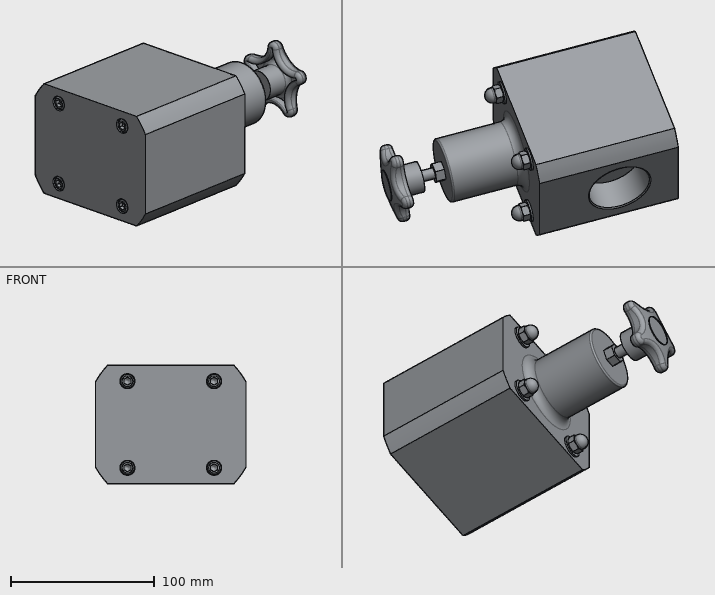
import cadquery as cq
import math


BODY_WIDTH = 104.78
BODY_HEIGHT = 82.55
BODY_LENGTH = 101.6
BODY_TURNED_DIAMETER = 120.65

PORT_DIAMETER = 44.05
PORT_MOUTH_DIAMETER = 45.72
PORT_CHAMFER = (PORT_MOUTH_DIAMETER - PORT_DIAMETER) / 2
PORT_DEPTH = 23.0
PORT_Y = 43.0

BOLT_SPACING = 60.32
COUNTERBORE_DIAMETER = 10.5
COUNTERBORE_DEPTH = 6.35
HEAD_DIAMETER = 9.53
HEAD_FACE_DIAMETER = 7.44
HEAD_CHAMFER = (HEAD_DIAMETER - HEAD_FACE_DIAMETER) / 2
SOCKET_FLATS = 4.76
SOCKET_DEPTH = 3.0
SOCKET_CONE_DEPTH = 2.2

WASHER_DIAMETER = 15.88
WASHER_THICKNESS = 1.2
NUT_FLATS = 11.11
NUT_HEX_HEIGHT = 5.35
NUT_SHOULDER_HEIGHT = 6.5
NUT_CORNER_ANGLE = math.radians(30)
DOME_DIAMETER = 11.0

BONNET_DIAMETER = 45.72
BONNET_LENGTH = 53.9
BONNET_FLARE_RADIUS = 6.35
BONNET_RIM_FILLET = 1.2

STEM_DIAMETER = 7.94
LOCK_NUT_FLATS = 12.7
LOCK_NUT_THICKNESS = 6.7

WHEEL_END_Y = 196.89
WHEEL_THICKNESS = 12.1
HUB_DIAMETER = 22.1
HUB_LENGTH = 12.6
LOBE_COUNT = 5
LOBE_RADIUS = 4.76
LOBE_CENTRE_RADIUS = 23.8
HOLLOW_RADIUS = 14.0
WHEEL_EDGE_FILLET = 3.175
PAD_HEIGHT = 0.5
CROWN_RADIUS = 90.0
RECESS_MOUTH_FILLET = 0.75
RIM_FLAT = 0.05
RIM_WIDTH = WHEEL_EDGE_FILLET + RIM_FLAT + RECESS_MOUTH_FILLET
RECESS_DEPTH = 6.0
RECESS_FILLET = 3.175

BONNET_END_Y = BODY_LENGTH + BONNET_LENGTH
WHEEL_START_Y = WHEEL_END_Y - WHEEL_THICKNESS
HUB_START_Y = WHEEL_START_Y - HUB_LENGTH


def section_plane(y):
    """Workplane across the part's axis at y; a negative extrusion goes toward +Y."""
    return cq.Workplane("XZ", origin=(0, y, 0))


def cylinder(diameter, y, length):
    return section_plane(y).circle(diameter / 2).extrude(-length)


def hexagon(flats, y, length, corner_angle=0):
    corner_diameter = flats / math.cos(math.pi / 6)
    prism = section_plane(y).polygon(6, corner_diameter).extrude(-length)
    return prism.rotate((0, 0, 0), (0, 1, 0), corner_angle)


def root_fillet(diameter, radius, base_y, direction):
    """Filleted foot of a round boss that rises from base_y toward +Y (direction 1) or -Y (-1)."""
    boss_radius = diameter / 2
    foot_radius = boss_radius + radius
    top_y = base_y + direction * radius
    arc_reach = radius * math.sin(math.pi / 4)
    arc_middle = (foot_radius - arc_reach, top_y - direction * arc_reach)
    profile = (
        cq.Workplane("XY")
        .moveTo(0, base_y)
        .lineTo(foot_radius, base_y)
        .threePointArc(arc_middle, (boss_radius, top_y))
        .lineTo(0, top_y)
        .close()
    )
    return profile.revolve(360, (0, 0, 0), (0, 1, 0))


def at_bolts(shape):
    """Copies of a shape, moved from the axis to the four bolt positions."""
    half = BOLT_SPACING / 2
    copies = cq.Workplane()
    for x in (-half, half):
        for z in (-half, half):
            copies = copies.add(shape.translate((x, 0, z)))
    return copies.combine()


def make_body():
    block = section_plane(0).rect(BODY_WIDTH, BODY_HEIGHT).extrude(-BODY_LENGTH)
    return block.intersect(cylinder(BODY_TURNED_DIAMETER, 0, BODY_LENGTH))


def make_port():
    side = cq.Workplane("YZ", origin=(-BODY_WIDTH / 2, PORT_Y, 0))
    bore = side.circle(PORT_DIAMETER / 2).extrude(PORT_DEPTH)
    mouth = cq.Solid.makeCone(
        PORT_MOUTH_DIAMETER / 2,
        PORT_DIAMETER / 2,
        PORT_CHAMFER,
        cq.Vector(-BODY_WIDTH / 2, PORT_Y, 0),
        cq.Vector(1, 0, 0),
    )
    return bore.union(cq.Workplane(mouth))


def make_screw_head():
    """Chamfered head with a hexagon socket that ends in a cone."""
    head = cylinder(HEAD_DIAMETER, 0, COUNTERBORE_DEPTH).faces("<Y").chamfer(HEAD_CHAMFER)
    socket_radius = SOCKET_FLATS / math.cos(math.pi / 6) / 2
    socket_end = cq.Solid.makeCone(
        socket_radius,
        0,
        SOCKET_CONE_DEPTH,
        cq.Vector(0, SOCKET_DEPTH, 0),
        cq.Vector(0, 1, 0),
    )
    round_socket = cylinder(2 * socket_radius, 0, SOCKET_DEPTH).union(cq.Workplane(socket_end))
    socket = hexagon(SOCKET_FLATS, 0, SOCKET_DEPTH + SOCKET_CONE_DEPTH, corner_angle=90)
    return head.cut(socket.intersect(round_socket))


def make_cap_nut():
    """Washer and domed nut, with the hexagon's corners turned off at both ends."""
    washer = cylinder(WASHER_DIAMETER, BODY_LENGTH, WASHER_THICKNESS)
    nut_y = BODY_LENGTH + WASHER_THICKNESS
    shoulder_y = nut_y + NUT_SHOULDER_HEIGHT
    hex_top_y = nut_y + NUT_HEX_HEIGHT
    dome_radius = DOME_DIAMETER / 2
    corner_radius = NUT_FLATS / math.cos(math.pi / 6) / 2
    corner_drop = (corner_radius - dome_radius) * math.tan(NUT_CORNER_ANGLE)
    hexagon_part = hexagon(NUT_FLATS, nut_y, NUT_SHOULDER_HEIGHT, corner_angle=90)
    turned_profile = (
        cq.Workplane("XY")
        .moveTo(0, nut_y)
        .lineTo(dome_radius, nut_y)
        .lineTo(corner_radius, nut_y + corner_drop)
        .lineTo(corner_radius, hex_top_y - corner_drop)
        .lineTo(dome_radius, hex_top_y)
        .lineTo(dome_radius, shoulder_y)
        .lineTo(0, shoulder_y)
        .close()
    )
    turned = turned_profile.revolve(360, (0, 0, 0), (0, 1, 0))
    ball = cq.Workplane("XY").sphere(dome_radius).translate((0, shoulder_y, 0))
    dome = ball.intersect(cylinder(DOME_DIAMETER, shoulder_y, dome_radius))
    return washer.union(hexagon_part.intersect(turned)).union(dome)


def make_bonnet():
    barrel = cylinder(BONNET_DIAMETER, BODY_LENGTH, BONNET_LENGTH)
    barrel = barrel.faces(">Y").edges().fillet(BONNET_RIM_FILLET)
    flare = root_fillet(BONNET_DIAMETER, BONNET_FLARE_RADIUS, BODY_LENGTH, 1)
    return barrel.union(flare)


def make_stem():
    stem = cylinder(STEM_DIAMETER, BONNET_END_Y, HUB_START_Y - BONNET_END_Y)
    return stem.union(hexagon(LOCK_NUT_FLATS, BONNET_END_Y, LOCK_NUT_THICKNESS))


def polar(radius, angle):
    return (radius * math.cos(angle), radius * math.sin(angle))


def lobed_outline(y, inset):
    """Star outline of half-round lobes joined by tangent hollows, one lobe pointing to +Z."""
    lobe_radius = LOBE_RADIUS - inset
    half_pitch = math.pi / LOBE_COUNT
    hollow_radius = HOLLOW_RADIUS + inset
    centre_distance = LOBE_RADIUS + HOLLOW_RADIUS
    along = LOBE_CENTRE_RADIUS * math.cos(half_pitch)
    across = LOBE_CENTRE_RADIUS * math.sin(half_pitch)
    hollow_centre = along + math.sqrt(centre_distance**2 - across**2)
    flank_axial = hollow_centre * math.cos(half_pitch) - LOBE_CENTRE_RADIUS
    flank_lateral = hollow_centre * math.sin(half_pitch)
    reach = lobe_radius / centre_distance
    touch_axial = LOBE_CENTRE_RADIUS + flank_axial * reach
    touch_lateral = flank_lateral * reach
    flank_radius = math.hypot(touch_axial, touch_lateral)
    flank_angle = math.atan2(touch_lateral, touch_axial)
    outline = section_plane(y).moveTo(*polar(flank_radius, math.pi / 2 - flank_angle))
    for index in range(LOBE_COUNT):
        lobe_angle = math.pi / 2 + 2 * half_pitch * index
        next_angle = lobe_angle + 2 * half_pitch
        tip = polar(LOBE_CENTRE_RADIUS + lobe_radius, lobe_angle)
        valley = polar(hollow_centre - hollow_radius, lobe_angle + half_pitch)
        outline = outline.threePointArc(tip, polar(flank_radius, lobe_angle + flank_angle))
        outline = outline.threePointArc(valley, polar(flank_radius, next_angle - flank_angle))
    return outline.close()


def make_handwheel():
    crown_y = WHEEL_END_Y - PAD_HEIGHT
    crown_centre_y = crown_y - math.sqrt(CROWN_RADIUS**2 - (HUB_DIAMETER / 2) ** 2)
    crown = cq.Workplane("XY").sphere(CROWN_RADIUS).translate((0, crown_centre_y, 0))
    wheel = lobed_outline(WHEEL_START_Y, 0).extrude(-WHEEL_THICKNESS).intersect(crown)
    wheel = wheel.faces("<Y").edges().fillet(WHEEL_EDGE_FILLET)
    wheel = wheel.faces(cq.selectors.TypeSelector("SPHERE")).edges().fillet(WHEEL_EDGE_FILLET)
    recess = lobed_outline(WHEEL_START_Y, RIM_WIDTH).extrude(-RECESS_DEPTH)
    wheel = wheel.cut(recess)
    mouth = wheel.faces("<Y").val().innerWires()[0]
    wheel = wheel.newObject(mouth.Edges()).fillet(RECESS_MOUTH_FILLET)
    recess_floor_y = WHEEL_START_Y + RECESS_DEPTH
    hub = cylinder(HUB_DIAMETER, HUB_START_Y, recess_floor_y - HUB_START_Y)
    hub = hub.union(root_fillet(HUB_DIAMETER, RECESS_FILLET, recess_floor_y, -1))
    pad = cylinder(HUB_DIAMETER, crown_y - PAD_HEIGHT, 2 * PAD_HEIGHT)
    return wheel.union(hub).union(pad)


counterbores = at_bolts(cylinder(COUNTERBORE_DIAMETER, 0, COUNTERBORE_DEPTH))
result = make_body().cut(make_port()).cut(counterbores)
result = result.union(at_bolts(make_screw_head()))
result = result.union(make_bonnet()).union(at_bolts(make_cap_nut()))
result = result.union(make_stem()).union(make_handwheel())